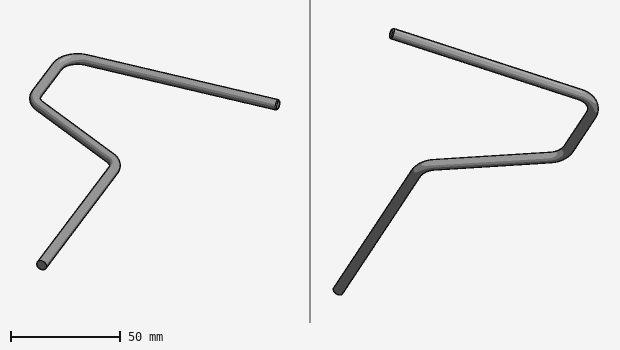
import cadquery as cq
import math

overall_width = 107.5
overall_length = 165.0
rod_diameter = 5.0
rod_radius = rod_diameter / 2

bend_radius = 10.0
side_leg_length = 40.0
lower_leg_offset = 56.5
slope_angle = 30.0

arm_chamfer = 0.5

arm_end_x = overall_width - rod_radius
slope_drop = lower_leg_offset * math.tan(math.radians(slope_angle))
slope_top_y = -side_leg_length
slope_bottom_y = slope_top_y - slope_drop
rod_end_y = rod_radius - overall_length

slope_turn = math.radians(90 - slope_angle)
slope_setback = bend_radius * math.tan(slope_turn / 2)
slope_setback_x = slope_setback * math.cos(math.radians(slope_angle))
slope_setback_y = slope_setback * math.sin(math.radians(slope_angle))

slope_start = (slope_setback_x, slope_top_y - slope_setback_y)
slope_end = (lower_leg_offset - slope_setback_x, slope_bottom_y + slope_setback_y)

centreline = (
    cq.Workplane("XY")
    .moveTo(arm_end_x, 0)
    .lineTo(bend_radius, 0)
    .tangentArcPoint((0, -bend_radius), relative=False)
    .lineTo(0, slope_top_y + slope_setback)
    .tangentArcPoint(slope_start, relative=False)
    .lineTo(*slope_end)
    .tangentArcPoint((lower_leg_offset, slope_bottom_y - slope_setback), relative=False)
    .lineTo(lower_leg_offset, rod_end_y)
)

rod = cq.Workplane("YZ", origin=(arm_end_x, 0, 0)).circle(rod_radius).sweep(centreline)

result = rod.faces(">X").edges().chamfer(arm_chamfer)